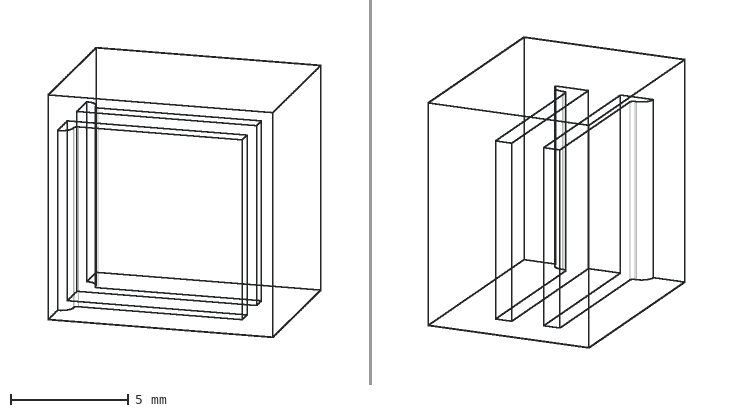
import cadquery as cq
import math

length = 9.98
width = 7.54
height = 10

end_wall = 2
slot_height = 8
rib_half_width = 0.75
throat_outer_y = 1.51
mouth_outer_y = 2.29

mouth_radius = 0.55
lip_radius = 0.15

front_x = -length / 2
floor_x = length / 2 - end_wall
ledge_x = front_x + mouth_radius
ledge_outer_y = mouth_outer_y - mouth_radius
ledge_inner_y = throat_outer_y + lip_radius
diagonal = math.sqrt(0.5)


def make_slot():
    """Slot on the +Y side: a wide rounded mouth that narrows to a plain throat."""
    mouth_arc_middle = (
        front_x + mouth_radius * diagonal,
        ledge_outer_y + mouth_radius * diagonal,
    )
    lip_arc_middle = (
        ledge_x + lip_radius * (1 - diagonal),
        throat_outer_y + lip_radius * (1 - diagonal),
    )
    return (
        cq.Workplane("XY")
        .moveTo(front_x, rib_half_width)
        .lineTo(front_x, mouth_outer_y)
        .threePointArc(mouth_arc_middle, (ledge_x, ledge_outer_y))
        .lineTo(ledge_x, ledge_inner_y)
        .threePointArc(lip_arc_middle, (ledge_x + lip_radius, throat_outer_y))
        .lineTo(floor_x, throat_outer_y)
        .lineTo(floor_x, rib_half_width)
        .close()
        .extrude(slot_height)
    )


block = cq.Workplane("XY").box(length, width, height, centered=(True, True, False))
slot = make_slot()
result = block.cut(slot).cut(slot.mirror("XZ"))